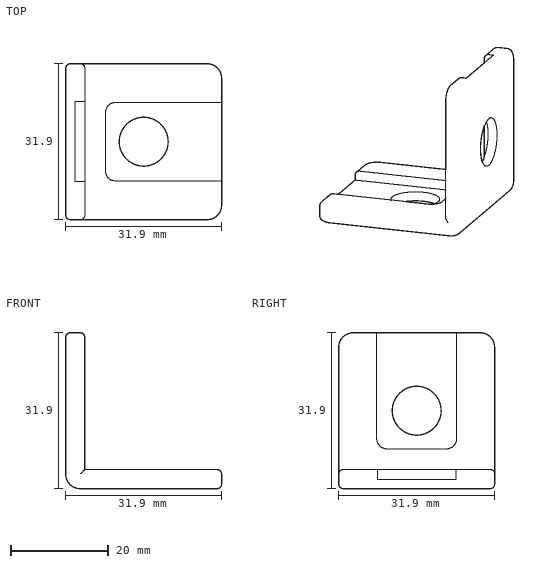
import cadquery as cq

size = 31.9
thickness = 3.95
corner_radius = 3.0
edge_radius = 1.0
hole_diameter = 9.95

recess_depth = 2.0
recess_start = 8.15
floor_recess_width = 16.0
floor_recess_radius = 2.0
wall_recess_width = 16.35
wall_recess_radius = 2.15

half = size / 2
recess_floor = thickness - recess_depth


def bracket_body():
    """L profile along Y with the bend, the free corners and the rims rounded."""
    profile = [
        (0, 0),
        (size, 0),
        (size, thickness),
        (thickness, thickness),
        (thickness, size),
        (0, size),
    ]
    body = cq.Workplane("XZ").polyline(profile).close().extrude(half, both=True)
    body = body.edges("|Y and <X and <Z").fillet(corner_radius)
    body = body.faces(">X").edges("|Z").fillet(corner_radius)
    body = body.faces(">Z").edges("|X").fillet(corner_radius)
    return body.edges("|Y and (>X or >Z)").fillet(edge_radius)


def floor_leg_cutter(recess_width, recess_radius):
    """Hole and recess volumes to be removed, placed for the floor leg."""
    hole = cq.Workplane("XY").center(half, 0).circle(hole_diameter / 2).extrude(thickness)
    recess = (
        cq.Workplane("XY", origin=(recess_start, 0, recess_floor))
        .rect(size, recess_width)
        .extrude(recess_depth)
        .translate((half, 0, 0))
        .edges("|Z and <X")
        .fillet(recess_radius)
    )
    return hole.union(recess)


def wall_leg_cutter(recess_width, recess_radius):
    """The same volumes placed for the wall leg, by mirroring in the plane X = Z."""
    cutter = floor_leg_cutter(recess_width, recess_radius)
    return cutter.rotate((0, 0, 0), (0, 1, 0), -90).mirror("YZ")


result = (
    bracket_body()
    .cut(floor_leg_cutter(floor_recess_width, floor_recess_radius))
    .cut(wall_leg_cutter(wall_recess_width, wall_recess_radius))
)